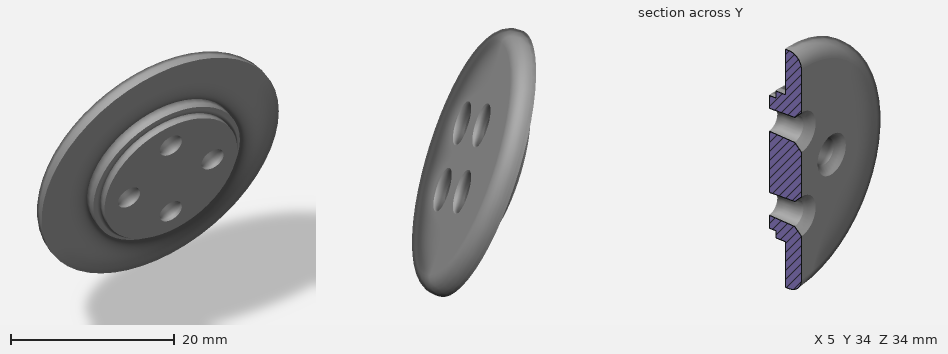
import cadquery as cq

flange_diameter = 34.0
flange_thickness = 2.5
rim_radius = 2.0

boss_diameter = 21.0
boss_length = 1.5
spigot_diameter = 19.0
total_length = 5.0
spigot_length = total_length - flange_thickness - boss_length

hole_count = 4
hole_circle_radius = 6.0
countersink_diameter = 5.6
throat_diameter = 3.5
exit_diameter = 3.2
countersink_depth = (countersink_diameter - throat_diameter) / 2


def make_flange():
    """Disc with its front edge rounded."""
    disc = cq.Workplane("YZ").circle(flange_diameter / 2).extrude(flange_thickness)
    return disc.faces("<X").edges().fillet(rim_radius)


def add_boss_steps(body):
    """Stack the boss and the narrower spigot on the back of the flange."""
    for diameter, length in ((boss_diameter, boss_length), (spigot_diameter, spigot_length)):
        body = body.faces(">X").workplane().circle(diameter / 2).extrude(length)
    return body


def make_screw_hole():
    """Hole on the X axis: a countersink, then a slightly tapered bore to the back face."""
    half_profile = [
        (0, 0),
        (0, countersink_diameter / 2),
        (countersink_depth, throat_diameter / 2),
        (total_length, exit_diameter / 2),
        (total_length, 0),
    ]
    return cq.Workplane("XY").polyline(half_profile).close().revolve(360, (0, 0, 0), (1, 0, 0))


def cut_screw_holes(body):
    """Cut the holes, evenly spaced around the flange axis."""
    hole = make_screw_hole().translate((0, hole_circle_radius, 0))
    for index in range(hole_count):
        angle = index * 360 / hole_count
        body = body.cut(hole.rotate((0, 0, 0), (1, 0, 0), angle))
    return body


result = cut_screw_holes(add_boss_steps(make_flange()))